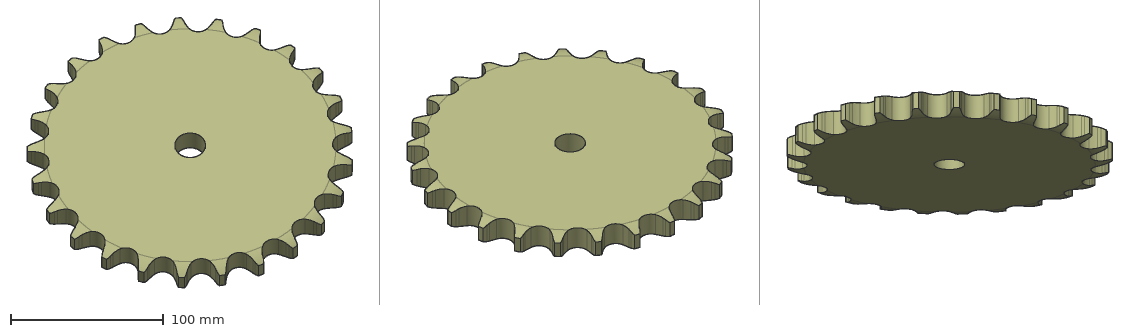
import cadquery as cq
import math


TOOTH_COUNT = 25
WIDEST_SIDE = 213.3
PITCH_DIAMETER = 202.6
THICKNESS = 16.2
BORE_DIAMETER = 20.0
SIDE_ARC_RADIUS = 26.0
SIDE_ARC_DROP = 2.5
SEAT_CLEARANCE = 0.038

HALF_TOOTH_ANGLE = math.pi / TOOTH_COUNT
PITCH_RADIUS = PITCH_DIAMETER / 2
CHAIN_PITCH = PITCH_DIAMETER * math.sin(HALF_TOOTH_ANGLE)
ROLLER_DIAMETER = 0.625 * CHAIN_PITCH

SEAT_ANGLE = math.radians(35 + 60 / TOOTH_COUNT)
WORKING_ANGLE = math.radians(18 - 56 / TOOTH_COUNT)
TOPPING_ANGLE = math.radians(17 - 64 / TOOTH_COUNT)
FLANK_ANGLE = SEAT_ANGLE - WORKING_ANGLE
WORKING_OFFSET = 0.8 * ROLLER_DIAMETER
TOPPING_OFFSET = 1.4 * ROLLER_DIAMETER
SEAT_RADIUS = 0.5025 * ROLLER_DIAMETER + SEAT_CLEARANCE
WORKING_RADIUS = SEAT_RADIUS + WORKING_OFFSET
TOPPING_RADIUS = (
    WORKING_OFFSET * math.cos(WORKING_ANGLE)
    + TOPPING_OFFSET * math.cos(TOPPING_ANGLE)
    - WORKING_RADIUS
)

SEAT_CENTER = (0, PITCH_RADIUS)
WORKING_CENTER = (
    -WORKING_OFFSET * math.cos(SEAT_ANGLE),
    PITCH_RADIUS + WORKING_OFFSET * math.sin(SEAT_ANGLE),
)
TOPPING_CENTER = (
    TOPPING_OFFSET * math.cos(HALF_TOOTH_ANGLE),
    PITCH_RADIUS - TOPPING_OFFSET * math.sin(HALF_TOOTH_ANGLE),
)


def polar(center, radius, angle):
    """Point at a radius and angle (from +X, counter-clockwise) around a center."""
    return (center[0] + radius * math.cos(angle), center[1] + radius * math.sin(angle))


def rotate(point, angle):
    """Point turned counter-clockwise about the sprocket axis."""
    return polar((0, 0), math.hypot(*point), math.atan2(point[1], point[0]) + angle)


def mirror(point):
    """Point reflected across the gap centre line."""
    return (-point[0], point[1])


def tip_radius():
    """Radius at which the tooth corners nearest the X axis span the widest side."""
    gaps_to_x_axis = TOOTH_COUNT // 4
    center = rotate(TOPPING_CENTER, -2 * HALF_TOOTH_ANGLE * gaps_to_x_axis)
    corner_x = WIDEST_SIDE / 2
    corner_y = center[1] + math.sqrt(TOPPING_RADIUS**2 - (corner_x - center[0]) ** 2)
    return math.hypot(corner_x, corner_y)


TIP_RADIUS = tip_radius()


def topping_end_angle():
    """Angle around the topping center where the topping arc meets the tip circle."""
    center_distance = math.hypot(*TOPPING_CENTER)
    cosine = (center_distance**2 + TOPPING_RADIUS**2 - TIP_RADIUS**2) / (
        2 * center_distance * TOPPING_RADIUS
    )
    toward_axis = math.pi + math.atan2(TOPPING_CENTER[1], TOPPING_CENTER[0])
    return toward_axis - math.acos(cosine)


def tooth_outline():
    """Closed outline of all teeth, drawn clockwise gap by gap."""
    topping_start = math.pi - FLANK_ANGLE
    topping_end = topping_end_angle()
    topping_middle = (topping_start + topping_end) / 2
    working_middle = -(SEAT_ANGLE + FLANK_ANGLE) / 2

    root = polar(SEAT_CENTER, SEAT_RADIUS, -math.pi / 2)
    seat_end = polar(SEAT_CENTER, SEAT_RADIUS, -SEAT_ANGLE)
    working_mid = polar(WORKING_CENTER, WORKING_RADIUS, working_middle)
    working_end = polar(WORKING_CENTER, WORKING_RADIUS, -FLANK_ANGLE)
    flank_end = polar(TOPPING_CENTER, TOPPING_RADIUS, topping_start)
    topping_mid = polar(TOPPING_CENTER, TOPPING_RADIUS, topping_middle)
    tip_corner = polar(TOPPING_CENTER, TOPPING_RADIUS, topping_end)
    tip_mid = polar((0, 0), TIP_RADIUS, math.pi / 2 - HALF_TOOTH_ANGLE)

    outline = cq.Workplane("XY").moveTo(*mirror(tip_corner))
    for gap in range(TOOTH_COUNT):
        turn = -2 * HALF_TOOTH_ANGLE * gap
        next_turn = turn - 2 * HALF_TOOTH_ANGLE
        outline = (
            outline
            .threePointArc(rotate(mirror(topping_mid), turn), rotate(mirror(flank_end), turn))
            .lineTo(*rotate(mirror(working_end), turn))
            .threePointArc(rotate(mirror(working_mid), turn), rotate(mirror(seat_end), turn))
            .threePointArc(rotate(root, turn), rotate(seat_end, turn))
            .threePointArc(rotate(working_mid, turn), rotate(working_end, turn))
            .lineTo(*rotate(flank_end, turn))
            .threePointArc(rotate(topping_mid, turn), rotate(tip_corner, turn))
            .threePointArc(rotate(tip_mid, turn), rotate(mirror(tip_corner), next_turn))
        )
    return outline.close()


def rounded_blank():
    """Turned disc whose flat faces curve inwards to a thinner rim, with a bore."""
    arc_sweep = math.acos(1 - SIDE_ARC_DROP / SIDE_ARC_RADIUS)
    flat_radius = TIP_RADIUS - SIDE_ARC_RADIUS * math.sin(arc_sweep)
    arc_mid_radius = flat_radius + SIDE_ARC_RADIUS * math.sin(arc_sweep / 2)
    arc_mid_drop = SIDE_ARC_RADIUS * (1 - math.cos(arc_sweep / 2))
    bore_radius = BORE_DIAMETER / 2
    return (
        cq.Workplane("XZ")
        .moveTo(bore_radius, 0)
        .lineTo(flat_radius, 0)
        .threePointArc((arc_mid_radius, arc_mid_drop), (TIP_RADIUS, SIDE_ARC_DROP))
        .lineTo(TIP_RADIUS, THICKNESS - SIDE_ARC_DROP)
        .threePointArc((arc_mid_radius, THICKNESS - arc_mid_drop), (flat_radius, THICKNESS))
        .lineTo(bore_radius, THICKNESS)
        .close()
        .revolve(360, (0, 0, 0), (0, 1, 0))
    )


def toothed_disc():
    """Straight-sided plate with the full tooth outline."""
    return tooth_outline().extrude(THICKNESS)


result = rounded_blank().intersect(toothed_disc())